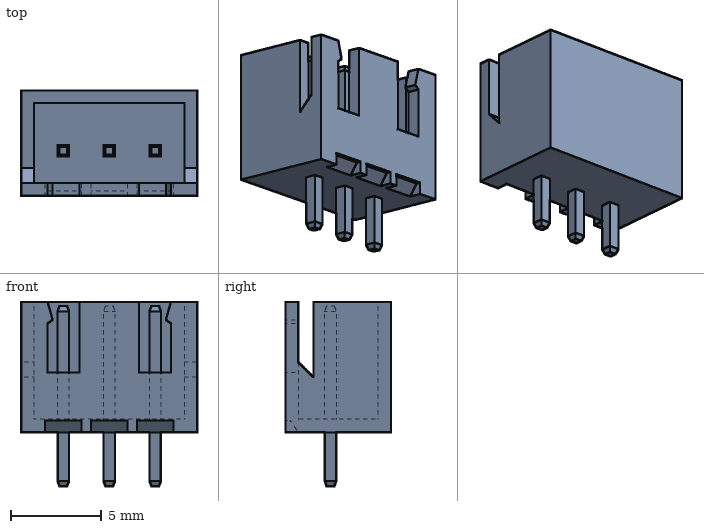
import cadquery as cq

body_width = 9.75
body_depth = 5.84
body_height = 7.22
wall = 0.71
front_wall = 0.72
floor_thickness = 0.75
front_y = -2.49

pin_pitch = 2.54
pin_count = 3
pin_side = 0.64
pin_tail = 2.99
pin_top_gap = 0.23
tip_height = 0.3
tip_inset = 0.11

window_sill = 3.3
window_inner_x = 1.65
window_outer_x = 3.41
tooth_reach = 0.28
tooth_peak_depth = 1.0
tooth_foot_depth = 1.2

side_slot_width = 0.82
side_slot_low_z = 3.06
side_slot_high_z = side_slot_low_z + side_slot_width

relief_width = 2.03
relief_height = 0.66
relief_slope_run = 0.46
relief_depth = front_wall


def make_housing():
    """Open-topped box with one wall thickness at the sides and back and another at the front."""
    outer = cq.Workplane("XY").box(body_width, body_depth, body_height, centered=(True, False, False))
    cavity_depth = body_depth - front_wall - wall
    cavity = (
        cq.Workplane("XY")
        .box(body_width - 2 * wall, cavity_depth, body_height, centered=(True, False, False))
        .translate((0, front_wall, floor_thickness))
    )
    return outer.cut(cavity).translate((0, front_y, 0))


def make_window():
    """Cutter for the +X window; its outer edge follows the latch tooth."""
    outline = [
        (window_inner_x, window_sill),
        (window_outer_x, window_sill),
        (window_outer_x, body_height - tooth_foot_depth),
        (window_outer_x - tooth_reach, body_height - tooth_peak_depth),
        (window_outer_x, body_height),
        (window_inner_x, body_height),
    ]
    cutter = cq.Workplane("XZ").polyline(outline).close().extrude(-front_wall)
    return cutter.translate((0, front_y, 0))


def make_side_slots():
    """Cutter running the full width, so it slots both side walls."""
    slot_front_y = front_y + front_wall
    slot_back_y = slot_front_y + side_slot_width
    outline = [
        (slot_front_y, side_slot_high_z),
        (slot_back_y, side_slot_low_z),
        (slot_back_y, body_height),
        (slot_front_y, body_height),
    ]
    return cq.Workplane("YZ").polyline(outline).close().extrude(body_width / 2, both=True)


def make_relief(x):
    """Cutter open to the front and bottom, whose back slopes down to the bottom face."""
    outline = [
        (front_y, 0),
        (front_y + relief_depth, 0),
        (front_y + relief_depth - relief_slope_run, relief_height),
        (front_y, relief_height),
    ]
    cutter = cq.Workplane("YZ").polyline(outline).close().extrude(relief_width / 2, both=True)
    return cutter.translate((x, 0, 0))


def make_pin(x):
    """Square pin with a tapered tip at each end."""
    shaft_bottom_z = tip_height - pin_tail
    shaft_top_z = body_height - pin_top_gap - tip_height
    tip_side = pin_side - 2 * tip_inset
    pin = (
        cq.Workplane("XY", origin=(x, 0, shaft_bottom_z))
        .rect(pin_side, pin_side)
        .extrude(shaft_top_z - shaft_bottom_z)
    )
    for shaft_end_z, direction in ((shaft_bottom_z, -1), (shaft_top_z, 1)):
        tip = (
            cq.Workplane("XY", origin=(x, 0, shaft_end_z))
            .rect(pin_side, pin_side)
            .workplane(offset=direction * tip_height)
            .rect(tip_side, tip_side)
            .loft(ruled=True)
        )
        pin = pin.union(tip)
    return pin


pin_positions = [(i - (pin_count - 1) / 2) * pin_pitch for i in range(pin_count)]

result = make_housing()
window = make_window()
result = result.cut(window).cut(window.mirror("YZ"))
result = result.cut(make_side_slots())
for pin_x in pin_positions:
    result = result.cut(make_relief(pin_x))
for pin_x in pin_positions:
    result = result.union(make_pin(pin_x))